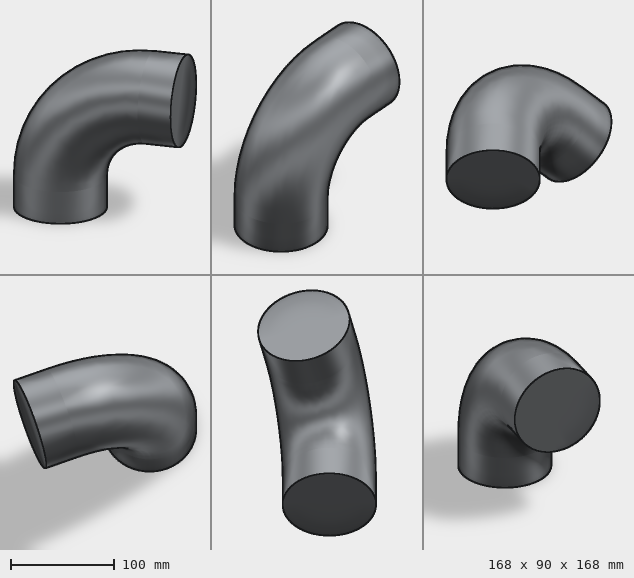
import cadquery as cq


outer_diameter = 90.0
bend_radius = 90.0
overall_length = 168.0

outer_radius = outer_diameter / 2
spigot_length = overall_length - bend_radius - outer_radius


def make_centreline():
    """Elbow axis: up along Z, a quarter turn, then out along +X."""
    bend_end_z = spigot_length + bend_radius
    return (
        cq.Workplane("XZ")
        .lineTo(0, spigot_length)
        .radiusArc((bend_radius, bend_end_z), bend_radius)
        .lineTo(bend_radius + spigot_length, bend_end_z)
    )


def make_elbow():
    """Round section carried along the elbow axis."""
    section = cq.Workplane("XY").circle(outer_radius)
    return section.sweep(make_centreline())


result = make_elbow()